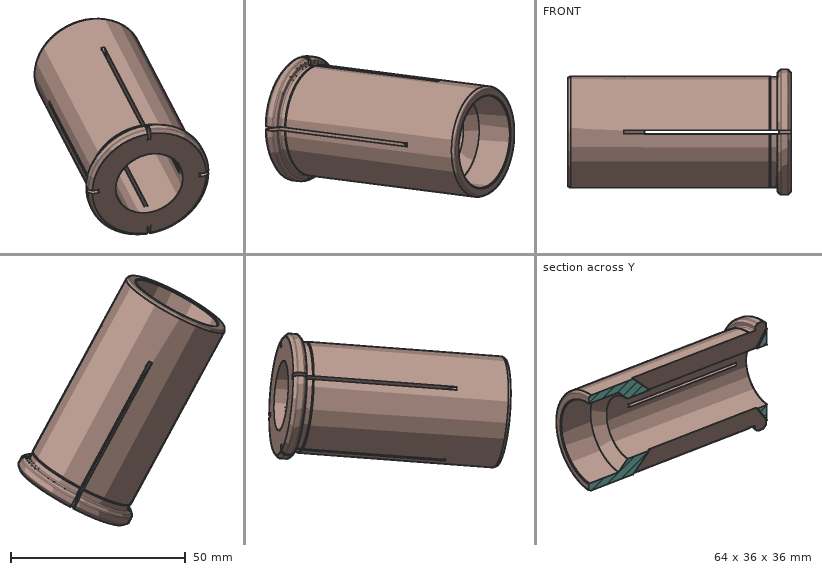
import cadquery as cq

length = 64.0
body_radius = 16.0
flange_radius = 18.0

nose_chamfer_length = 0.9
nose_chamfer_depth = 0.45
neck_relief = 0.1
neck_start = length - 6.3
neck_taper_length = 0.4
neck_fillet = 0.4
flange_start = length - 4.0
flange_back_chamfer = 0.9
flange_front_chamfer = 1.0
nose_rounding = 0.4
face_rounding = 0.3
back_crest_rounding = 0.6
front_crest_rounding = 0.3
match_tolerance = 0.005

socket_radius = 13.25
socket_chamfer = 0.25
socket_depth = 10.7
bore_radius = 10.0

slot_count = 4
slot_width = 1.0
slot_start = 16.0
slot_through_end = length - 3.6
slot_exit_radius = 15.2

neck_radius = body_radius - neck_relief
slot_through_start = slot_start + body_radius - bore_radius
bore_start = socket_depth + socket_radius - bore_radius
flange_rims = [
    (flange_start, flange_radius - flange_back_chamfer, face_rounding),
    (flange_start + flange_back_chamfer, flange_radius, back_crest_rounding),
    (length - flange_front_chamfer, flange_radius, front_crest_rounding),
]


def make_sleeve():
    """Revolve the half section (X along the axis, Y as radius)."""
    section = (
        cq.Workplane("XY")
        .moveTo(0, socket_radius + socket_chamfer)
        .lineTo(0, body_radius - nose_chamfer_depth)
        .lineTo(nose_chamfer_length, body_radius)
        .lineTo(neck_start, body_radius)
        .lineTo(neck_start + neck_taper_length, neck_radius)
        .lineTo(flange_start - neck_fillet, neck_radius)
        .radiusArc((flange_start, neck_radius + neck_fillet), -neck_fillet)
        .lineTo(flange_start, flange_radius - flange_back_chamfer)
        .lineTo(flange_start + flange_back_chamfer, flange_radius)
        .lineTo(length - flange_front_chamfer, flange_radius)
        .lineTo(length, flange_radius - flange_front_chamfer)
        .lineTo(length, bore_radius)
        .lineTo(bore_start, bore_radius)
        .lineTo(socket_depth, socket_radius)
        .lineTo(socket_chamfer, socket_radius)
        .close()
    )
    return section.revolve(360, (0, 0, 0), (1, 0, 0))


def round_rim(solid, rim_x, rim_radius, rounding):
    """Round the circular edge that has the given axial position and radius."""
    def is_rim(edge):
        return (
            edge.geomType() == "CIRCLE"
            and abs(edge.Center().x - rim_x) < match_tolerance
            and abs(edge.radius() - rim_radius) < match_tolerance
        )

    return solid.edges().filter(is_rim).fillet(rounding)


def make_slot():
    """Slot cutter: a 45 degree ramp down to the bore, open along it, then a steep ramp out."""
    return (
        cq.Workplane("XY")
        .moveTo(slot_start, flange_radius)
        .lineTo(slot_start, body_radius)
        .lineTo(slot_through_start, bore_radius)
        .lineTo(slot_through_start, 0)
        .lineTo(slot_through_end, 0)
        .lineTo(slot_through_end, bore_radius)
        .lineTo(length, slot_exit_radius)
        .lineTo(length, flange_radius)
        .close()
        .extrude(slot_width / 2, both=True)
    )


result = make_sleeve()
result = round_rim(result, 0, body_radius - nose_chamfer_depth, nose_rounding)
for rim_x, rim_radius, rounding in flange_rims:
    result = round_rim(result, rim_x, rim_radius, rounding)

slot = make_slot()
for index in range(slot_count):
    angle = index * 360 / slot_count
    result = result.cut(slot.rotate((0, 0, 0), (1, 0, 0), angle))